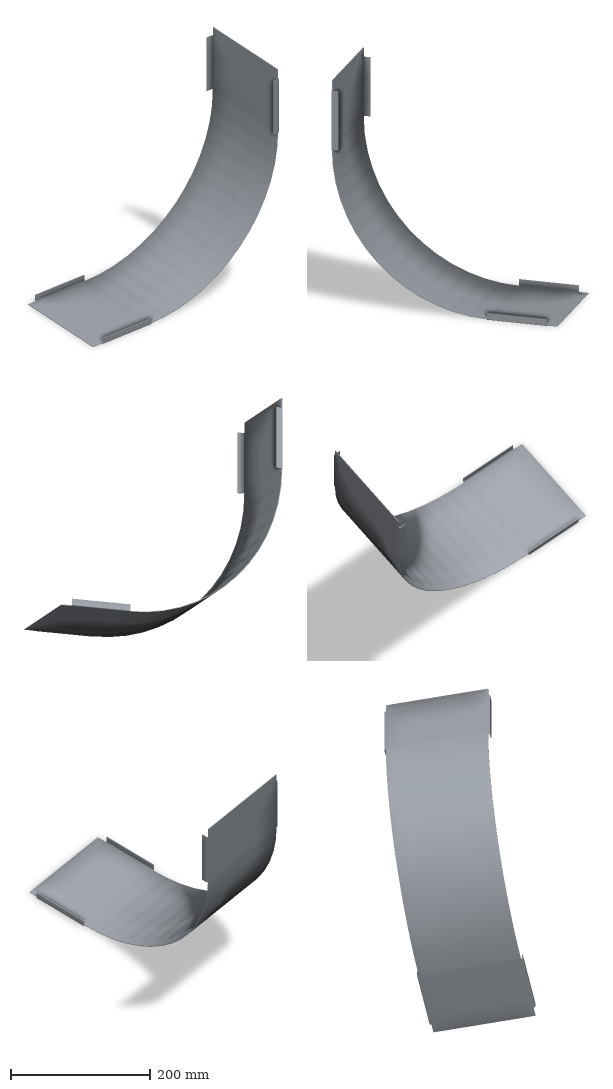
import cadquery as cq
import math

overall = 339.5
overall_width = 155.0
sheet_width = 150.0
thickness = 1.0
bend_radius = 1.5
plate_length = 105.0
flange_length = 90.0
flange_height = 10.2

half_width = overall_width / 2
inner_bend_radius = bend_radius - thickness
curve_radius = overall - plate_length
half_span = overall / 2
flange_start = plate_length - flange_length - half_span
flat_end = plate_length - half_span


def make_sheet():
    """Flat bottom plate, quarter-circle curve and upright back plate."""
    diagonal = math.sqrt(0.5)
    inner_radius = curve_radius - thickness
    inner_face = half_span - thickness
    centre_y = flat_end
    centre_z = -flat_end
    outer_middle = (centre_y + curve_radius * diagonal, centre_z - curve_radius * diagonal)
    inner_middle = (centre_y + inner_radius * diagonal, centre_z - inner_radius * diagonal)
    return (
        cq.Workplane("YZ", origin=(-sheet_width / 2, 0, 0))
        .moveTo(-half_span, -half_span)
        .lineTo(flat_end, -half_span)
        .threePointArc(outer_middle, (half_span, -flat_end))
        .lineTo(half_span, half_span)
        .lineTo(inner_face, half_span)
        .lineTo(inner_face, -flat_end)
        .threePointArc(inner_middle, (flat_end, -inner_face))
        .lineTo(-half_span, -inner_face)
        .close()
        .extrude(sheet_width)
    )


def make_bottom_flange():
    """Upturned flange with a rounded bend, reaching out from the -X edge of the bottom plate."""
    bend_x = -half_width + bend_radius
    bottom = -half_span
    top = bottom + flange_height
    bend_z = bottom + bend_radius
    diagonal = math.sqrt(0.5)
    outer_middle = (bend_x - bend_radius * diagonal, bend_z - bend_radius * diagonal)
    inner_middle = (bend_x - inner_bend_radius * diagonal, bend_z - inner_bend_radius * diagonal)
    return (
        cq.Workplane("XZ", origin=(0, flat_end, 0))
        .moveTo(-sheet_width / 2, bottom)
        .lineTo(bend_x, bottom)
        .threePointArc(outer_middle, (-half_width, bend_z))
        .lineTo(-half_width, top)
        .lineTo(-half_width + thickness, top)
        .lineTo(-half_width + thickness, bend_z)
        .threePointArc(inner_middle, (bend_x, bottom + thickness))
        .lineTo(-sheet_width / 2, bottom + thickness)
        .close()
        .extrude(flat_end - flange_start)
    )


left_flange = make_bottom_flange()
bottom_flanges = left_flange.union(left_flange.mirror("YZ"))
back_flanges = bottom_flanges.mirror("XY").rotate((0, 0, 0), (1, 0, 0), -90)

result = make_sheet().union(bottom_flanges).union(back_flanges)